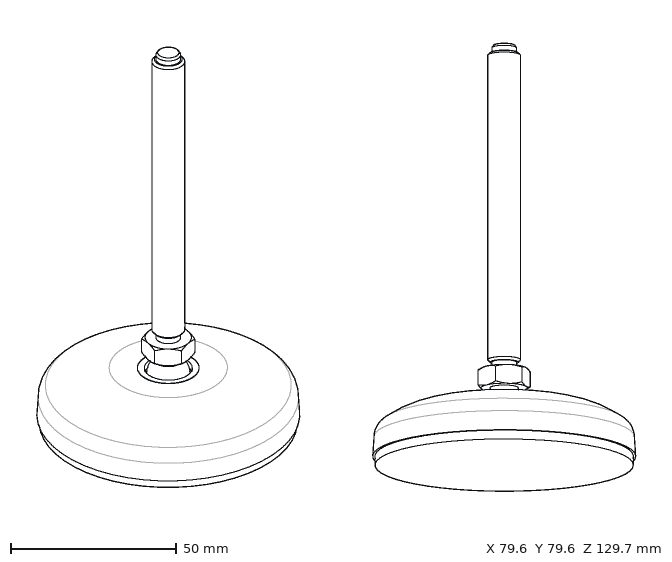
import cadquery as cq
import math


pad_radius = 78.2 / 2
pad_height = 2.7
rim_radius = 79.6 / 2
wall_top_radius = 39.4
wall_top_height = 8.7
shoulder_radius = 37.2
shoulder_height = 13.0
crown_radius = 17.9
base_height = 19.1

seat_radius = 9.3
seat_depth = 0.1
bore_radius = 7.3

ball_radius = 6.6
ball_centre_height = 16.9

lower_neck_radius = 8.5 / 2
upper_neck_radius = 7.5 / 2
hex_bottom = 23.9
hex_top = 29.7
hex_across_flats = 14.0
hex_rotation = 30
hex_chamfer_angle = 30

stud_radius = 10.0 / 2
stud_bottom = 31.8
stud_top = 127.4
stud_chamfer = 0.8
tip_radius = 7.5 / 2
tip_chamfer_width = 0.5
tip_chamfer_height = 0.8
total_height = 129.7


def revolve_about_z(outline):
    """Close an outline drawn as (radius, height) and turn it around the Z axis."""
    return outline.close().revolve(360, (0, 0, 0), (0, 1, 0))


def make_base():
    """Housing and pad; the dome is tangent to the crown and the shoulder to the dome."""
    outline = (
        cq.Workplane("XZ")
        .moveTo(0, base_height)
        .lineTo(crown_radius, base_height)
        .tangentArcPoint((shoulder_radius, shoulder_height), relative=False)
        .tangentArcPoint((wall_top_radius, wall_top_height), relative=False)
        .lineTo(rim_radius, pad_height)
        .lineTo(pad_radius, pad_height)
        .lineTo(pad_radius, 0)
        .lineTo(0, 0)
    )
    return revolve_about_z(outline)


def make_socket():
    """Material removed from the crown around the ball."""
    crown = cq.Workplane("XY").workplane(offset=base_height)
    seat = crown.circle(seat_radius).extrude(-seat_depth)
    bore = crown.circle(bore_radius).extrude(ball_centre_height - base_height)
    return seat.union(bore)


def make_hexagon():
    """Hexagonal prism with flats facing +X and -X and its corners chamfered at both ends."""
    flat_radius = hex_across_flats / 2
    corner_radius = hex_across_flats / math.sqrt(3)
    chamfer_height = (corner_radius - flat_radius) * math.tan(math.radians(hex_chamfer_angle))
    prism = (
        cq.Workplane("XY")
        .workplane(offset=hex_bottom)
        .polygon(6, 2 * corner_radius)
        .extrude(hex_top - hex_bottom)
        .rotate((0, 0, 0), (0, 0, 1), hex_rotation)
    )
    chamfer_envelope = revolve_about_z(
        cq.Workplane("XZ")
        .moveTo(0, hex_bottom)
        .lineTo(flat_radius, hex_bottom)
        .lineTo(corner_radius, hex_bottom + chamfer_height)
        .lineTo(corner_radius, hex_top - chamfer_height)
        .lineTo(flat_radius, hex_top)
        .lineTo(0, hex_top)
    )
    return prism.intersect(chamfer_envelope)


def make_stud():
    """Upper half of the ball, both necks, the stud and its tip as one turned body."""
    ball_top = ball_centre_height + math.sqrt(ball_radius**2 - lower_neck_radius**2)
    arc_middle = ball_radius * math.sqrt(0.5)
    outline = (
        cq.Workplane("XZ")
        .moveTo(0, ball_centre_height)
        .lineTo(ball_radius, ball_centre_height)
        .threePointArc(
            (arc_middle, ball_centre_height + arc_middle),
            (lower_neck_radius, ball_top),
        )
        .lineTo(lower_neck_radius, hex_bottom)
        .lineTo(upper_neck_radius, hex_bottom)
        .lineTo(upper_neck_radius, stud_bottom)
        .lineTo(stud_radius - stud_chamfer, stud_bottom)
        .lineTo(stud_radius, stud_bottom + stud_chamfer)
        .lineTo(stud_radius, stud_top - stud_chamfer)
        .lineTo(stud_radius - stud_chamfer, stud_top)
        .lineTo(tip_radius, stud_top)
        .lineTo(tip_radius, total_height - tip_chamfer_height)
        .lineTo(tip_radius - tip_chamfer_width, total_height)
        .lineTo(0, total_height)
    )
    return revolve_about_z(outline)


base = make_base().cut(make_socket())
result = base.union(make_stud()).union(make_hexagon())